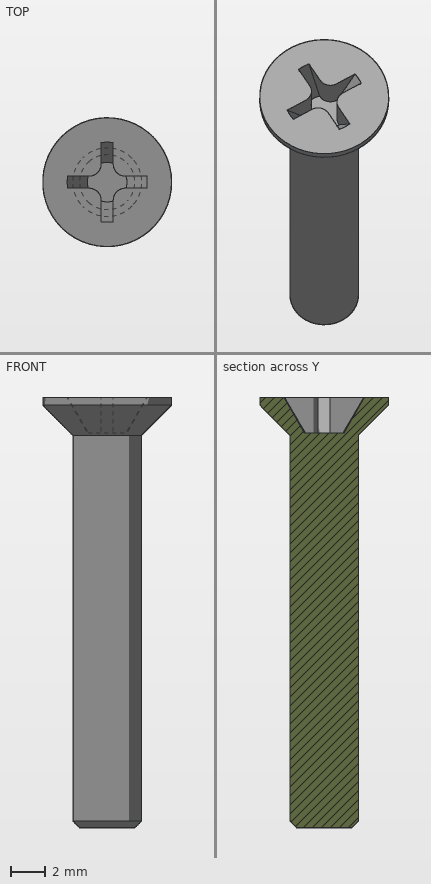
import cadquery as cq

length = 25.0
head_diameter = 7.5
shank_diameter = 4.0
rim_height = 0.45
tip_chamfer = 0.4

recess_top_radius = 2.32
recess_floor_radius = 1.15
recess_depth = 2.05
arm_width = 0.7
inner_corner_radius = 0.7

head_radius = head_diameter / 2
shank_radius = shank_diameter / 2
rim_bottom = length - rim_height
shank_top = rim_bottom - (head_radius - shank_radius)


def make_body():
    """Countersunk head, shank and chamfered tip as one revolved profile."""
    return (
        cq.Workplane("XZ")
        .lineTo(shank_radius - tip_chamfer, 0)
        .lineTo(shank_radius, tip_chamfer)
        .lineTo(shank_radius, shank_top)
        .lineTo(head_radius, rim_bottom)
        .lineTo(head_radius, length)
        .lineTo(0, length)
        .close()
        .revolve(360, (0, 0, 0), (0, 1, 0))
    )


def make_recess():
    """Cross with rounded inner corners, its arm ends tapering along a cone."""
    floor = length - recess_depth
    arm_length = 2 * head_radius
    base = cq.Workplane("XY").workplane(offset=floor)
    arm_along_x = base.rect(arm_length, arm_width).extrude(recess_depth)
    arm_along_y = base.rect(arm_width, arm_length).extrude(recess_depth)
    corner_box = cq.selectors.BoxSelector(
        (-arm_width, -arm_width, floor), (arm_width, arm_width, length)
    )
    cross = arm_along_x.union(arm_along_y).edges("|Z").edges(corner_box).fillet(inner_corner_radius)
    cone = (
        base.circle(recess_floor_radius)
        .workplane(offset=recess_depth)
        .circle(recess_top_radius)
        .loft()
    )
    return cross.intersect(cone)


result = make_body().cut(make_recess())